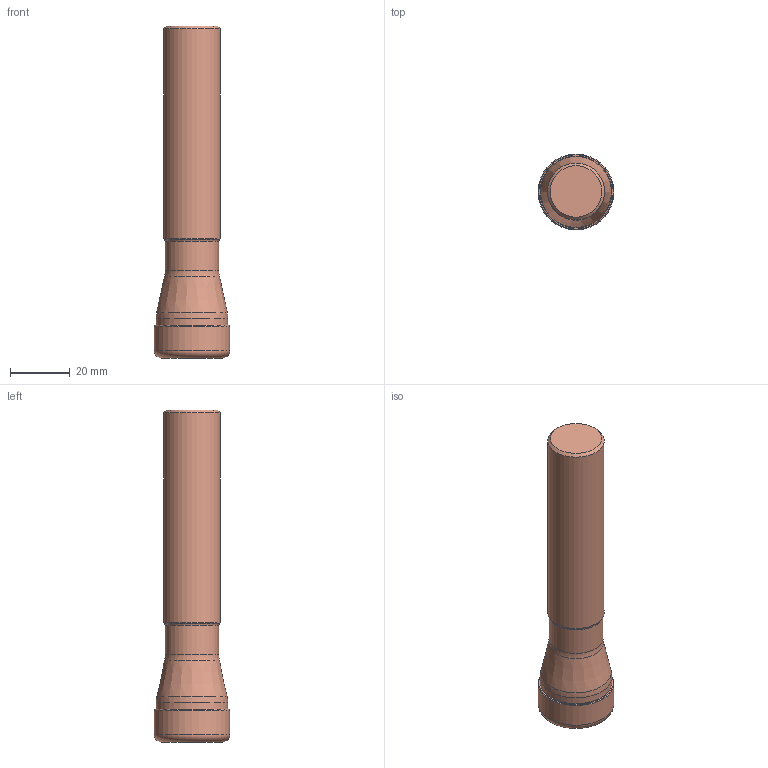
import cadquery as cq
import math

total_height = 111.125

cap_diameter = 25.4
cap_height = 10.9
cap_bottom_fillet = 2.54
cap_top_chamfer = 0.25

shank_diameter = 19.05
shank_end_chamfer = 0.9
neck_diameter = 18.0
neck_top_z = 39.0
shoulder_radius = 1.0
shoulder_chamfer = 0.25

foot_diameter = 24.0
flare_bottom_z = 14.25
flare_angle = math.radians(12.0)
flare_blend_radius = 9.5

shank_radius = shank_diameter / 2
neck_radius = neck_diameter / 2
foot_radius = foot_diameter / 2

shoulder_top_radius = shank_radius - shoulder_chamfer
shoulder_step = shoulder_top_radius - neck_radius
shoulder_top_z = neck_top_z + math.sqrt(shoulder_radius**2 - (shoulder_radius - shoulder_step) ** 2)

flare_top_z = flare_bottom_z + (foot_radius - neck_radius) / math.tan(flare_angle)
blend_reach = flare_blend_radius * math.tan(flare_angle / 2)
blend_reach_r = blend_reach * math.sin(flare_angle)
blend_reach_z = blend_reach * math.cos(flare_angle)


def make_cap():
    """Round cap with a flat seat on top, a rounded lower rim and a chamfered upper rim."""
    cap = cq.Workplane("XY").circle(cap_diameter / 2).extrude(cap_height)
    cap = cap.faces("<Z").edges().fillet(cap_bottom_fillet)
    return cap.faces(">Z").edges().chamfer(cap_top_chamfer)


def make_stud():
    """Turned stud standing on the cap: foot, blended flare, neck, shoulder and shank."""
    profile = (
        cq.Workplane("XZ")
        .moveTo(0, cap_height)
        .lineTo(-foot_radius, cap_height)
        .lineTo(-foot_radius, flare_bottom_z - blend_reach)
        .tangentArcPoint((-foot_radius + blend_reach_r, flare_bottom_z + blend_reach_z), relative=False)
        .lineTo(-neck_radius - blend_reach_r, flare_top_z - blend_reach_z)
        .tangentArcPoint((-neck_radius, flare_top_z + blend_reach), relative=False)
        .lineTo(-neck_radius, neck_top_z)
        .tangentArcPoint((-shoulder_top_radius, shoulder_top_z), relative=False)
        .lineTo(-shank_radius, shoulder_top_z + shoulder_chamfer)
        .lineTo(-shank_radius, total_height - shank_end_chamfer)
        .lineTo(-shank_radius + shank_end_chamfer, total_height)
        .lineTo(0, total_height)
        .close()
    )
    return profile.revolve(360, (0, 0, 0), (0, 1, 0))


cap = make_cap()
stud = make_stud()
result = cq.Compound.makeCompound([cap.val(), stud.val()])